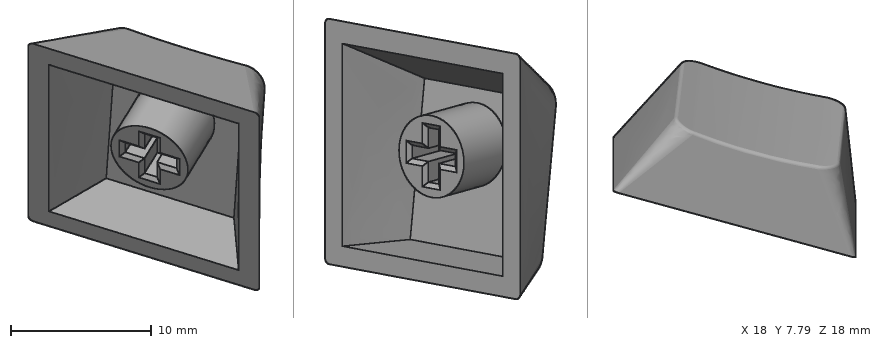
import cadquery as cq
import math


rim_size = 18.0
rim_corner_radius = 0.41
touch_width = 12.1
touch_corner_radius = 1.71
touch_bottom_y = 5.98
touch_top_y = 8.0
touch_top_z = 13.9

touch_edge_radius = 0.25

dish_radius = 43.2
dish_depth = 0.49

cavity_width = 14.76
cavity_bottom_z = 1.51
cavity_top_z = 16.36
floor_width = 9.94
floor_bottom_y = 4.68
floor_top_y = 6.3
floor_top_z = 13.03

stem_diameter = 6.0
stem_z = rim_size / 2
stem_face_y = 1.0
socket_length = 4.0
socket_width = 0.97
lead_in_width = 0.35
lead_in_depth = 0.25


def tapered_block(rim_edge, far_edge):
    """Loft between two rectangles, each given as (width, corner radius, lower (y, z), upper (y, z))."""
    sections = []
    for width, corner_radius, (low_y, low_z), (high_y, high_z) in (rim_edge, far_edge):
        rise_y = high_y - low_y
        rise_z = high_z - low_z
        plane = cq.Plane(
            origin=(0, (low_y + high_y) / 2, (low_z + high_z) / 2),
            xDir=(1, 0, 0),
            normal=(0, -rise_z, rise_y),
        )
        sketch = cq.Sketch().rect(width, math.hypot(rise_y, rise_z))
        if corner_radius > 0:
            sketch = sketch.vertices().fillet(corner_radius)
        sections.append(sketch.moved(cq.Location(plane)))
    return cq.Workplane("XY").placeSketch(*sections).loft(ruled=True)


def dish_cutter():
    """Cylinder parallel to the sloping touch face, sunk into it by the dish depth."""
    slope = math.atan2(touch_top_y - touch_bottom_y, touch_top_z)
    axis_offset = dish_radius - dish_depth
    outward = cq.Vector(0, math.cos(slope), -math.sin(slope))
    along = cq.Vector(0, math.sin(slope), math.cos(slope))
    length = 2 * rim_size
    axis_start = cq.Vector(0, touch_bottom_y, 0) + outward * axis_offset - along * (length / 2)
    return cq.Workplane(obj=cq.Solid.makeCylinder(dish_radius, length, axis_start, along))


def cross_outline(length, width):
    """Corner points of a plus sign centred on the origin."""
    tip = length / 2
    side = width / 2
    return [
        (side, tip), (side, side), (tip, side), (tip, -side), (side, -side), (side, -tip),
        (-side, -tip), (-side, -side), (-tip, -side), (-tip, side), (-side, side), (-side, tip),
    ]


def stem():
    plane = cq.Plane(origin=(0, stem_face_y, stem_z), xDir=(-1, 0, 0), normal=(0, 1, 0))
    depth = floor_top_y - stem_face_y
    post = cq.Workplane(plane).circle(stem_diameter / 2).extrude(depth)
    socket_outline = cross_outline(socket_length, socket_width)
    mouth_outline = cross_outline(socket_length + 2 * lead_in_width, socket_width + 2 * lead_in_width)
    socket = cq.Workplane(plane).polyline(socket_outline).close().extrude(depth)
    lead_in = (
        cq.Workplane(plane)
        .polyline(mouth_outline).close()
        .workplane(offset=lead_in_depth)
        .polyline(socket_outline).close()
        .loft(ruled=True)
    )
    return post.cut(socket).cut(lead_in)


shell = tapered_block(
    (rim_size, rim_corner_radius, (0, 0), (0, rim_size)),
    (touch_width, touch_corner_radius, (touch_bottom_y, 0), (touch_top_y, touch_top_z)),
).cut(dish_cutter()).faces("%CYLINDER").edges().fillet(touch_edge_radius)

cavity = tapered_block(
    (cavity_width, 0, (0, cavity_bottom_z), (0, cavity_top_z)),
    (floor_width, 0, (floor_bottom_y, cavity_bottom_z), (floor_top_y, floor_top_z)),
)

result = shell.cut(cavity).union(stem().intersect(cavity))